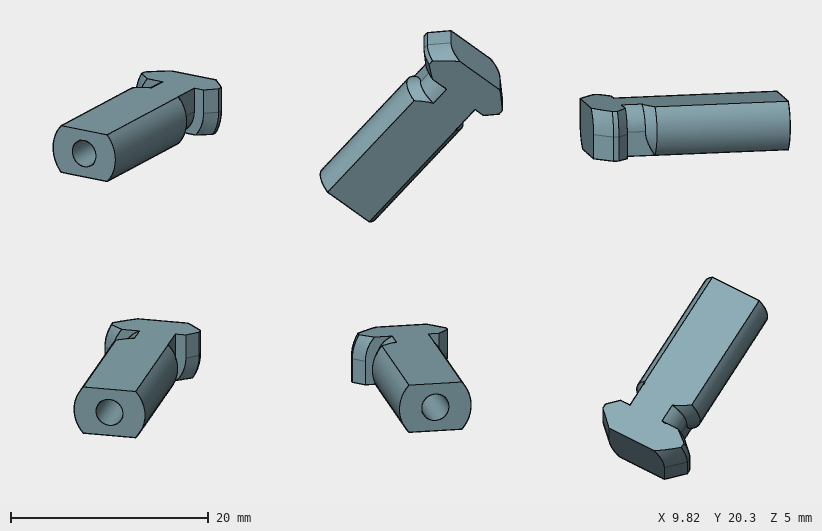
import cadquery as cq

length = 20.25
head_width = 9.82
thickness = 5.0

shaft_diameter = 7.4
neck_width = 5.4
shoulder_end = 14.78

head_height = 3.36
front_bevel = 1.11
back_bevel = 1.7

hole_diameter = 2.8
hole_depth = 10.12

head_radius = head_width / 2
shaft_radius = shaft_diameter / 2
neck_radius = neck_width / 2
head_start = length - head_height
shoulder_start = shoulder_end - (shaft_radius - neck_radius)

shaft_outline = [
    (0, 0),
    (shaft_radius, 0),
    (shaft_radius, shoulder_start),
    (neck_radius, shoulder_end),
    (0, shoulder_end),
]
t_outline = [
    (0, shoulder_start),
    (neck_radius, shoulder_start),
    (neck_radius, head_start),
    (head_radius - front_bevel, head_start),
    (head_radius, head_start + front_bevel),
    (head_radius, length - back_bevel),
    (head_radius - back_bevel, length),
    (0, length),
]


def revolved(outline):
    """Turn a half outline fully around the shaft axis."""
    return cq.Workplane("XY").polyline(outline).close().revolve(360, (0, 0, 0), (0, 1, 0))


def square_quarter():
    """Neck and head quarter with straight sides, filling +X, +Z."""
    return cq.Workplane("XY").polyline(t_outline).close().extrude(thickness / 2)


slab = cq.Workplane("XY").box(head_width, length, thickness).translate((0, length / 2, 0))
round_body = revolved(shaft_outline).union(revolved(t_outline)).intersect(slab)

right_quarter = square_quarter()
left_quarter = right_quarter.rotate((0, 0, 0), (0, 1, 0), 180)
body = round_body.union(right_quarter).union(left_quarter)

hole = cq.Workplane("XZ").circle(hole_diameter / 2).extrude(-hole_depth)

result = body.cut(hole)